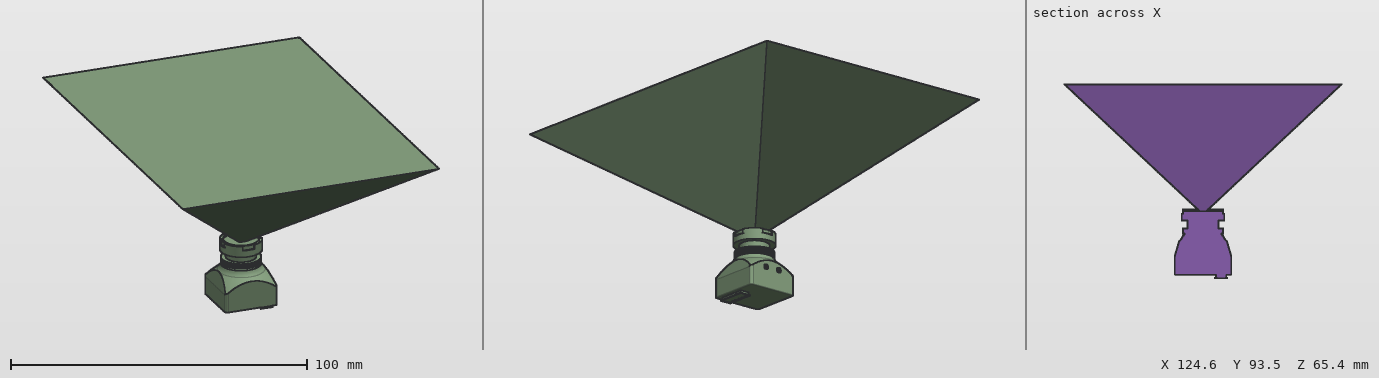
import cadquery as cq

VIEW_X = 124.6
VIEW_Y = 93.5
TOTAL_HEIGHT = 65.4
APEX_Z = 21.5

BASE_SIZE = 19.1
BASE_HALF = BASE_SIZE / 2
BASE_BOTTOM_Z = 1.1
CORNER_RADIUS = 1.0
BOTTOM_FILLET = 0.2
SLOPE_START_Z = 7.6
SLOPE_TOP_Y = 8.1
SHOULDER_RADIUS = 8.1
SHOULDER_Z = 12.5
DOME_FOOT_RADIUS = 13.5
DOME_MID_RADIUS = 11.0
DOME_MID_Z = 10.1

COLLAR_RADIUS = 6.9
COLLAR_TOP_Z = 14.8
COLLAR_MID_RADIUS = 7.2
COLLAR_MID_Z = 13.5
COLLAR_CHAMFER = 0.5
GROOVE_RADIUS = 6.2
NUT_RADIUS = 6.9
NUT_BOTTOM_Z = 15.1
NUT_TOP_Z = 16.8
NUT_RIB_COUNT = 4
NUT_SLIT_WIDTH = 0.1
NUT_SLIT_DEPTH = 0.1
NECK_RADIUS = 5.2
HEAD_RADIUS = 7.2
HEAD_BOTTOM_Z = 19.4
LENS_TOP_Z = 23.3
RECESS_RADIUS = 6.1
RECESS_DEPTH = 0.6
RECESS_FLOOR_Z = LENS_TOP_Z - RECESS_DEPTH

NOTCH_WIDTH = 4.2
NOTCH_HEIGHT = 1.5
NOTCH_FLOOR_RADIUS = 6.7

HOLE_RADIUS = 0.9
HOLE_DEPTH = 0.6
HOLE_CORE_RADIUS = 0.5
HOLE_CORE_DEPTH = 1.2
HOLE_SPACING = 5.6
HOLE_Z = 8.7

CONNECTOR_X = 9.8
CONNECTOR_Y = 3.5
CONNECTOR_CENTER_X = 2.7
CONNECTOR_CENTER_Y = 6.1
LIP_OVERHANG = 0.4
LIP_THICKNESS = 0.1
CONTACT_COUNT = 6
CONTACT_PITCH = CONNECTOR_X / CONTACT_COUNT
CONTACT_GAP = 0.5
CONTACT_GROOVE_DEPTH = 0.4


def make_base():
    """Square base with rounded corners, sloped +Y and -Y sides and a domed top."""
    block = (
        cq.Workplane("XY")
        .workplane(offset=BASE_BOTTOM_Z)
        .rect(BASE_SIZE, BASE_SIZE)
        .extrude(SHOULDER_Z - BASE_BOTTOM_Z)
        .edges("|Z")
        .fillet(CORNER_RADIUS)
        .faces("<Z")
        .edges()
        .fillet(BOTTOM_FILLET)
    )
    side_profile = (
        cq.Workplane("YZ")
        .moveTo(-BASE_HALF, BASE_BOTTOM_Z)
        .lineTo(BASE_HALF, BASE_BOTTOM_Z)
        .lineTo(BASE_HALF, SLOPE_START_Z)
        .lineTo(SLOPE_TOP_Y, SHOULDER_Z)
        .lineTo(-SLOPE_TOP_Y, SHOULDER_Z)
        .lineTo(-BASE_HALF, SLOPE_START_Z)
        .close()
        .extrude(BASE_HALF, both=True)
    )
    dome = (
        cq.Workplane("XZ")
        .moveTo(0, BASE_BOTTOM_Z)
        .lineTo(DOME_FOOT_RADIUS, BASE_BOTTOM_Z)
        .lineTo(DOME_FOOT_RADIUS, SLOPE_START_Z)
        .threePointArc((DOME_MID_RADIUS, DOME_MID_Z), (SHOULDER_RADIUS, SHOULDER_Z))
        .lineTo(0, SHOULDER_Z)
        .close()
        .revolve()
    )
    return block.intersect(side_profile).intersect(dome)


def ring(outer_radius, inner_radius, bottom_z, height):
    """Flat ring around the lens axis."""
    bottom = cq.Workplane("XY").workplane(offset=bottom_z)
    return bottom.circle(outer_radius).circle(inner_radius).extrude(height)


def make_barrel():
    """Turned collar, lock nut, neck and lens head with a recessed front, in one revolved outline."""
    return (
        cq.Workplane("XZ")
        .moveTo(0, SHOULDER_Z)
        .lineTo(SHOULDER_RADIUS, SHOULDER_Z)
        .threePointArc((COLLAR_MID_RADIUS, COLLAR_MID_Z), (COLLAR_RADIUS, COLLAR_TOP_Z - COLLAR_CHAMFER))
        .lineTo(COLLAR_RADIUS - COLLAR_CHAMFER, COLLAR_TOP_Z)
        .lineTo(GROOVE_RADIUS, COLLAR_TOP_Z)
        .lineTo(GROOVE_RADIUS, NUT_BOTTOM_Z)
        .lineTo(NUT_RADIUS, NUT_BOTTOM_Z)
        .lineTo(NUT_RADIUS, NUT_TOP_Z)
        .lineTo(NECK_RADIUS, NUT_TOP_Z)
        .lineTo(NECK_RADIUS, HEAD_BOTTOM_Z)
        .lineTo(HEAD_RADIUS, HEAD_BOTTOM_Z)
        .lineTo(HEAD_RADIUS, LENS_TOP_Z)
        .lineTo(RECESS_RADIUS, LENS_TOP_Z)
        .lineTo(RECESS_RADIUS, RECESS_FLOOR_Z)
        .lineTo(0, RECESS_FLOOR_Z)
        .close()
        .revolve()
    )


def make_nut_slits():
    """Thin ring grooves that divide the rim of the lock nut into ribs."""
    pitch = (NUT_TOP_Z - NUT_BOTTOM_Z) / NUT_RIB_COUNT
    slits = []
    for index in range(1, NUT_RIB_COUNT):
        bottom_z = NUT_BOTTOM_Z + index * pitch - NUT_SLIT_WIDTH / 2
        slits.append(ring(NUT_RADIUS, NUT_RADIUS - NUT_SLIT_DEPTH, bottom_z, NUT_SLIT_WIDTH))
    return slits


def make_notches():
    """Shallow wrench notches with a round floor, at the +X, +Y, -X and -Y sides of the lens head."""
    rim = ring(HEAD_RADIUS, NOTCH_FLOOR_RADIUS, LENS_TOP_Z - NOTCH_HEIGHT, NOTCH_HEIGHT)
    floor_plane = cq.Workplane("XY").workplane(offset=LENS_TOP_Z - NOTCH_HEIGHT)
    x_bar = floor_plane.rect(2 * HEAD_RADIUS, NOTCH_WIDTH).extrude(NOTCH_HEIGHT)
    y_bar = floor_plane.rect(NOTCH_WIDTH, 2 * HEAD_RADIUS).extrude(NOTCH_HEIGHT)
    cross = x_bar.union(y_bar)
    return rim.intersect(cross)


def make_screw_holes():
    """Two blind stepped holes in the -X side of the base."""
    centers = (
        cq.Workplane("YZ")
        .workplane(offset=-BASE_HALF)
        .pushPoints([(-HOLE_SPACING / 2, HOLE_Z), (HOLE_SPACING / 2, HOLE_Z)])
    )
    heads = centers.circle(HOLE_RADIUS).extrude(HOLE_DEPTH)
    cores = centers.circle(HOLE_CORE_RADIUS).extrude(HOLE_CORE_DEPTH)
    return heads.union(cores)


def make_connector():
    """Connector under the base, with a lip at its foot and upright grooves in its -Y side."""
    center = cq.Workplane("XY").center(CONNECTOR_CENTER_X, CONNECTOR_CENTER_Y)
    body = center.rect(CONNECTOR_X, CONNECTOR_Y).extrude(BASE_BOTTOM_Z)
    first_groove_x = CONNECTOR_CENTER_X - CONNECTOR_X / 2 + CONTACT_PITCH
    groove_y = CONNECTOR_CENTER_Y - CONNECTOR_Y / 2
    for index in range(CONTACT_COUNT - 1):
        groove = (
            cq.Workplane("XY")
            .center(first_groove_x + index * CONTACT_PITCH, groove_y)
            .rect(CONTACT_GAP, 2 * CONTACT_GROOVE_DEPTH)
            .extrude(BASE_BOTTOM_Z)
        )
        body = body.cut(groove)
    lip = center.rect(CONNECTOR_X + 2 * LIP_OVERHANG, CONNECTOR_Y + 2 * LIP_OVERHANG).extrude(LIP_THICKNESS)
    return body.union(lip)


def make_camera():
    """Camera: base, lens barrel and connector in one piece."""
    camera = make_base().union(make_barrel()).union(make_connector())
    for slit in make_nut_slits():
        camera = camera.cut(slit)
    return camera.cut(make_notches()).cut(make_screw_holes())


def make_view_pyramid():
    """Field of view, a rectangular pyramid cut off where it stands in the lens recess."""
    foot_scale = (RECESS_FLOOR_Z - APEX_Z) / (TOTAL_HEIGHT - APEX_Z)
    return (
        cq.Workplane("XY")
        .workplane(offset=RECESS_FLOOR_Z)
        .rect(VIEW_X * foot_scale, VIEW_Y * foot_scale)
        .workplane(offset=TOTAL_HEIGHT - RECESS_FLOOR_Z)
        .rect(VIEW_X, VIEW_Y)
        .loft(ruled=True)
    )


camera = make_camera()
view_pyramid = make_view_pyramid()

result = cq.Compound.makeCompound([camera.val(), view_pyramid.val()])